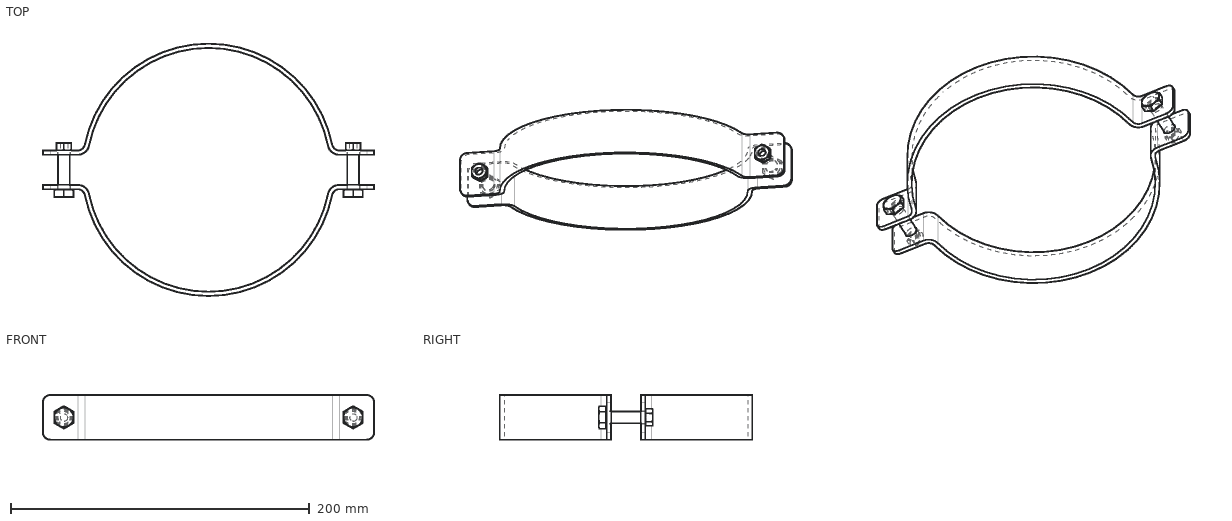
import cadquery as cq
import math

overall_length = 221.77
ring_diameter = 169.0
strip_thickness = 3.0
strip_width = 30.0
ear_gap = 20.0
bend_radius = 4.9
ear_corner_radius = 5.0

bolt_spacing = 193.6
bolt_hole_diameter = 8.5
shank_diameter = 8.0
head_across_flats = 13.0
head_height = 5.3
washer_face_diameter = 11.6
washer_face_thickness = 0.4
nut_across_flats = 10.0
nut_height = 5.0
nut_bore_diameter = 4.92
end_circle_ratio = 0.99
hex_chamfer_angle = 25.0

ring_outer_radius = ring_diameter / 2
ring_inner_radius = ring_outer_radius - strip_thickness
outer_bend_radius = bend_radius + strip_thickness
ear_inner_y = ear_gap / 2
ear_outer_y = ear_inner_y + strip_thickness
ear_end_x = overall_length / 2

bend_y = ear_outer_y + bend_radius
bend_x = math.sqrt((ring_outer_radius + bend_radius) ** 2 - bend_y ** 2)
ring_end_angle = math.atan2(bend_y, bend_x)
bend_mid_angle = (ring_end_angle + math.pi / 2) / 2


def cylinder_along_y(x, start_y, end_y, diameter):
    """Cylinder on an axis parallel to Y at height zero."""
    return (
        cq.Workplane("XZ", origin=(x, start_y, 0))
        .circle(diameter / 2)
        .extrude(start_y - end_y)
    )


def ring_point(radius, side):
    """Point where the ring meets the bend, on the given X side."""
    return side * radius * math.cos(ring_end_angle), radius * math.sin(ring_end_angle)


def bend_point(radius, side):
    """Point halfway along a bend arc of the given radius."""
    x = bend_x - radius * math.cos(bend_mid_angle)
    y = bend_y - radius * math.sin(bend_mid_angle)
    return side * x, y


def make_half_band():
    """Half band on the +Y side, with rounded ear corners and bolt holes."""
    strip = (
        cq.Workplane("XY")
        .workplane(offset=-strip_width / 2)
        .moveTo(-ear_end_x, ear_outer_y)
        .lineTo(-bend_x, ear_outer_y)
        .threePointArc(bend_point(bend_radius, -1), ring_point(ring_outer_radius, -1))
        .threePointArc((0, ring_outer_radius), ring_point(ring_outer_radius, 1))
        .threePointArc(bend_point(bend_radius, 1), (bend_x, ear_outer_y))
        .lineTo(ear_end_x, ear_outer_y)
        .lineTo(ear_end_x, ear_inner_y)
        .lineTo(bend_x, ear_inner_y)
        .threePointArc(bend_point(outer_bend_radius, 1), ring_point(ring_inner_radius, 1))
        .threePointArc((0, ring_inner_radius), ring_point(ring_inner_radius, -1))
        .threePointArc(bend_point(outer_bend_radius, -1), (-bend_x, ear_inner_y))
        .lineTo(-ear_end_x, ear_inner_y)
        .close()
        .extrude(strip_width)
    )
    rounded = strip.faces("<X or >X").edges("|Y").fillet(ear_corner_radius)
    for side in (-1, 1):
        hole_x = side * bolt_spacing / 2
        rounded = rounded.cut(cylinder_along_y(hole_x, ear_inner_y, ear_outer_y, bolt_hole_diameter))
    return rounded


def make_hex(x, start_y, end_y, across_flats, chamfer_start):
    """Hexagonal prism along Y, corners pointing up and down, with a conical chamfer at the end."""
    corner_radius = across_flats / math.sqrt(3)
    end_radius = end_circle_ratio * across_flats / 2
    chamfer_depth = (corner_radius - end_radius) * math.tan(math.radians(hex_chamfer_angle))
    direction = math.copysign(1, end_y - start_y)
    prism = (
        cq.Workplane("XZ", origin=(x, start_y, 0))
        .transformed(rotate=(0, 0, 90))
        .polygon(6, 2 * corner_radius)
        .extrude(start_y - end_y)
    )
    start_radius = end_radius if chamfer_start else corner_radius
    envelope_points = [(0, start_y), (start_radius, start_y)]
    if chamfer_start:
        envelope_points.append((corner_radius, start_y + direction * chamfer_depth))
    envelope_points += [
        (corner_radius, end_y - direction * chamfer_depth),
        (end_radius, end_y),
        (0, end_y),
    ]
    envelope = (
        cq.Workplane("XY", origin=(x, 0, 0))
        .polyline(envelope_points)
        .close()
        .revolve(360, (0, 0), (0, 1))
    )
    return prism.intersect(envelope)


def make_bolt(x):
    """Hex bolt: head against the -Y ears, shank ending flush with the +Y ears."""
    washer_y = -ear_outer_y - washer_face_thickness
    head = make_hex(x, washer_y, -ear_outer_y - head_height, head_across_flats, False)
    washer_face = cylinder_along_y(x, washer_y, -ear_outer_y, washer_face_diameter)
    shank = cylinder_along_y(x, -ear_outer_y, ear_outer_y, shank_diameter)
    return head.union(washer_face).union(shank)


def make_nut(x):
    """Hex nut seated on the +Y ears."""
    nut_end_y = ear_outer_y + nut_height
    blank = make_hex(x, ear_outer_y, nut_end_y, nut_across_flats, True)
    return blank.cut(cylinder_along_y(x, ear_outer_y, nut_end_y, nut_bore_diameter))


rear_band = make_half_band()
front_band = rear_band.mirror("XZ")
bodies = [rear_band.val(), front_band.val()]
for bolt_side in (-1, 1):
    bolt_x = bolt_side * bolt_spacing / 2
    bodies.append(make_bolt(bolt_x).val())
    bodies.append(make_nut(bolt_x).val())

result = cq.Compound.makeCompound(bodies)